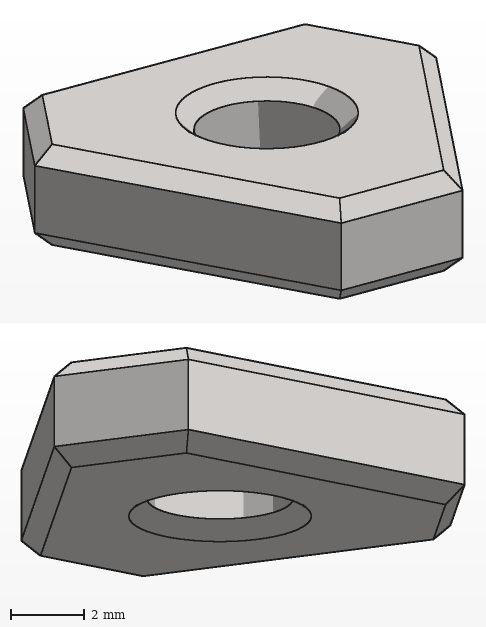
import cadquery as cq
import math

length = 13.32
thickness = 3.0
long_side_distance = 5.01
bore_diameter = 4.0
chamfer = thickness / 6
tilt = math.radians(-0.24)

short_side_distance = length * math.cos(math.pi / 6) / math.cos(tilt) - long_side_distance

half_short_side = (long_side_distance - short_side_distance / 2) / math.sin(math.pi / 3)
corner_radius = math.hypot(short_side_distance, half_short_side)
corner_angle = math.atan2(half_short_side, short_side_distance)


def plate_outline():
    """Corners of the triangle with its three tips cut off."""
    corners = []
    for tip in range(3):
        tip_angle = tilt + tip * 2 * math.pi / 3
        for angle in (tip_angle - corner_angle, tip_angle + corner_angle):
            corners.append((corner_radius * math.cos(angle), corner_radius * math.sin(angle)))
    return corners


plate = cq.Workplane("XY").polyline(plate_outline()).close().extrude(thickness)
plate = plate.faces(">Z").workplane(origin=(0, 0, 0)).hole(bore_diameter)

result = plate.faces("<Z or >Z").edges().chamfer(chamfer)